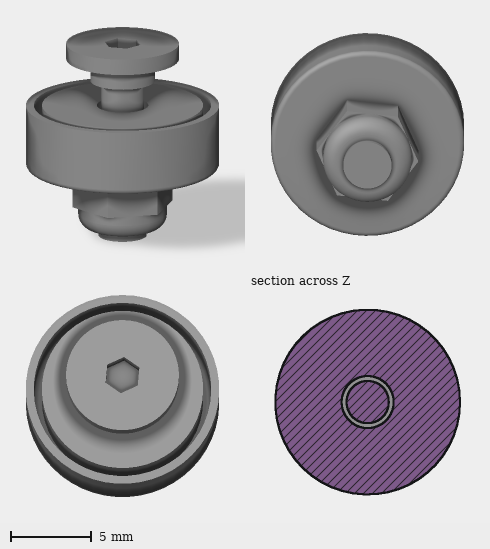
import cadquery as cq
import math

tip_length = 0.5
dome_height = 1.5
hex_height = 2.4
cup_height = 4.0
shank_exposed_length = 1.6
shoulder_height = 1.4
head_height = 1.0

dome_z = tip_length
hex_z = dome_z + dome_height
cup_z = hex_z + hex_height
cup_top_z = cup_z + cup_height
shoulder_z = cup_top_z + shank_exposed_length
head_z = shoulder_z + shoulder_height

tip_diameter = 3.0
shank_diameter = 2.65
shoulder_diameter = 4.0
head_diameter = 7.0
socket_across_flats = 2.0
socket_depth = 1.0

nut_across_flats = 5.5
dome_diameter = nut_across_flats
dome_fillet = 0.9

cup_diameter = 12.0
rim_thickness = 0.5
hub_diameter = 10.0
hub_hole_diameter = 3.2
cup_fillet = 0.3
groove_depth = 3.0


def cylinder(diameter, bottom_z, height):
    """Upright cylinder on the Z axis."""
    return cq.Workplane("XY").workplane(offset=bottom_z).circle(diameter / 2).extrude(height)


def hexagon(across_flats, bottom_z, height):
    """Upright hexagonal prism on the Z axis with two corners on the X axis."""
    across_corners = across_flats / math.cos(math.radians(30))
    return cq.Workplane("XY").workplane(offset=bottom_z).polygon(6, across_corners).extrude(height)


def make_cup():
    """Cup with a rounded lower edge, a flush hub and a hole through the hub."""
    cup = cylinder(cup_diameter, cup_z, cup_height).faces("<Z").edges().fillet(cup_fillet)
    groove_floor_z = cup_top_z - groove_depth
    cavity = cylinder(cup_diameter - 2 * rim_thickness, groove_floor_z, groove_depth)
    cavity = cavity.faces("<Z").edges().fillet(cup_fillet)
    hub = cylinder(hub_diameter, groove_floor_z, groove_depth)
    hub_hole = cylinder(hub_hole_diameter, cup_z, cup_height)
    return cup.cut(cavity).union(hub).cut(hub_hole)


def make_nut():
    """Hexagonal nut with a rounded collar below it."""
    dome = cylinder(dome_diameter, dome_z, dome_height).faces("<Z").edges().fillet(dome_fillet)
    return hexagon(nut_across_flats, hex_z, hex_height).union(dome)


def make_screw():
    """Shouldered screw with a flat head and a hexagonal socket."""
    tip = cylinder(tip_diameter, 0, tip_length)
    shank = cylinder(shank_diameter, dome_z, shoulder_z - dome_z)
    shoulder = cylinder(shoulder_diameter, shoulder_z, shoulder_height)
    head = cylinder(head_diameter, head_z, head_height)
    socket = hexagon(socket_across_flats, head_z + head_height - socket_depth, socket_depth)
    socket = socket.rotate((0, 0, 0), (0, 0, 1), 30)
    return tip.union(shank).union(shoulder).union(head).cut(socket)


result = make_cup().union(make_nut()).union(make_screw())